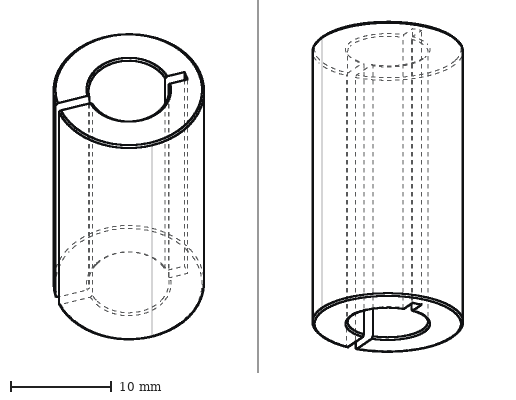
import cadquery as cq

length = 29.5
outer_diameter = 15.0
bore_diameter = 8.0
edge_chamfer = 0.2
slot_width = 1.0
blind_slot_reach = 6.0

outer_radius = outer_diameter / 2


def chamfered_sleeve():
    """Plain sleeve along Z with all four rim edges chamfered."""
    sleeve = cq.Workplane("XY").circle(outer_radius).circle(bore_diameter / 2).extrude(length)
    return sleeve.faces("<Z or >Z").edges().chamfer(edge_chamfer)


def slot_cutter(y_start, y_end):
    """Full-length slot, centred on X, between two Y positions."""
    return (
        cq.Workplane("XY")
        .center(0, (y_start + y_end) / 2)
        .rect(slot_width, y_end - y_start)
        .extrude(length)
    )


split_slot = slot_cutter(-outer_diameter, 0)
relief_slot = slot_cutter(0, blind_slot_reach)

result = chamfered_sleeve().cut(split_slot).cut(relief_slot)